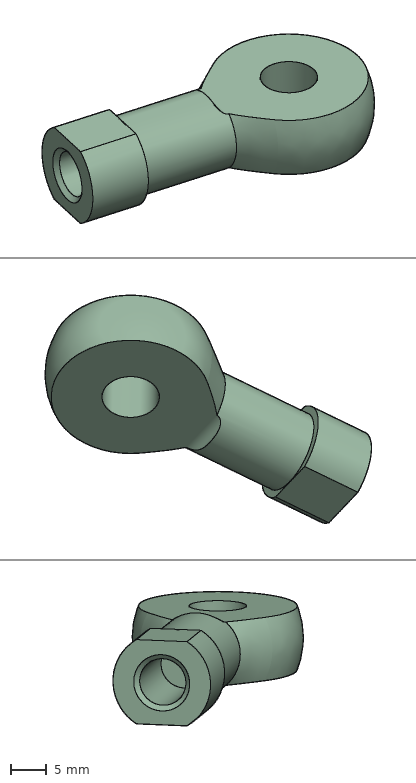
import cadquery as cq
import math

ball_radius = 12.0
head_thickness = 9.0
eye_diameter = 8.0

shank_radius = 11.8 / 2
shank_start = ball_radius
rod_end = 36.0
collar_diameter = 14.0
collar_length = 9.0
collar_across_flats = 12.0

bore_diameter = 6.6
bore_mouth_diameter = 8.0
bore_depth = 14.4

half_thickness = head_thickness / 2
runout_radius = shank_radius - half_thickness
overall_reach = 2 * rod_end


def rod_cylinder(diameter, start, length):
    """Cylinder along -Y whose near face is at y = -start."""
    return cq.Workplane("XZ", origin=(0, -start, 0)).circle(diameter / 2).extrude(length)


def make_ball_and_shank():
    """Ball with a tangent conical neck running into the shank, revolved about Y."""
    edge_distance = math.hypot(shank_radius, shank_start)
    edge_angle = math.atan2(shank_radius, shank_start)
    tangent_angle = edge_angle + math.acos(ball_radius / edge_distance)
    tangent_point = (ball_radius * math.sin(tangent_angle), -ball_radius * math.cos(tangent_angle))
    return (
        cq.Workplane("XY")
        .moveTo(0, ball_radius)
        .threePointArc((ball_radius, 0), tangent_point)
        .lineTo(shank_radius, -shank_start)
        .lineTo(shank_radius, -rod_end)
        .lineTo(0, -rod_end)
        .close()
        .revolve(360, (0, 0, 0), (0, 1, 0))
    )


def make_face_cutter():
    """Material above the upper head face, ending in a concave runout on the shank."""
    arc_offset = runout_radius * math.sqrt(0.5)
    return (
        cq.Workplane("YZ")
        .moveTo(overall_reach, half_thickness)
        .lineTo(-shank_start, half_thickness)
        .threePointArc(
            (-shank_start - arc_offset, shank_radius - arc_offset),
            (-shank_start - runout_radius, shank_radius),
        )
        .lineTo(-shank_start - runout_radius, overall_reach)
        .lineTo(overall_reach, overall_reach)
        .close()
        .extrude(overall_reach, both=True)
    )


def make_collar():
    """Round collar with two wrench flats parallel to the head faces."""
    collar = rod_cylinder(collar_diameter, rod_end - collar_length, collar_length)
    flats = cq.Workplane("XY").box(overall_reach, overall_reach, collar_across_flats)
    return collar.intersect(flats)


def make_bore():
    """Blind bore with a 45 degree countersunk mouth."""
    countersink_depth = (bore_mouth_diameter - bore_diameter) / 2
    bore = rod_cylinder(bore_diameter, rod_end - bore_depth, bore_depth)
    mouth = (
        cq.Workplane("XZ", origin=(0, -rod_end, 0))
        .circle(bore_mouth_diameter / 2)
        .workplane(offset=-countersink_depth)
        .circle(bore_diameter / 2)
        .loft()
    )
    return bore.union(mouth)


upper_cutter = make_face_cutter()
lower_cutter = upper_cutter.mirror("XY")
eye = cq.Workplane("XY").circle(eye_diameter / 2).extrude(head_thickness, both=True)

result = make_ball_and_shank().cut(upper_cutter).cut(lower_cutter)
result = result.union(make_collar()).cut(make_bore()).cut(eye)